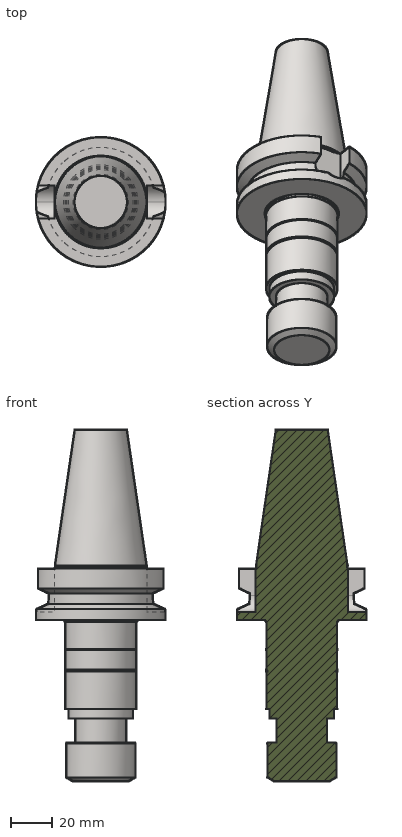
import cadquery as cq


gauge_dia = 44.45
taper_length = 65.4
taper_ratio = 7 / 24
taper_top_dia = gauge_dia - taper_ratio * taper_length

cone_end_z = -0.5
cone_end_dia = gauge_dia - taper_ratio * cone_end_z
relief_dia = 44.0
relief_z = -1.0
relief_flare_dia = 45.0

flange_dia = 62.98
flange_top_z = -2.0
flange_bottom_z = -27.0
groove_dia = 53.0
groove_center_z = -16.6
groove_mouth = 10.0
groove_floor = 5.0

slot_width = 16.1
slot_bottom_z = -23.0
slot_corner_radius = 8.0
slot_floor_x = 22.5

body_dia = 34.6
root_width = 0.7
root_height = 1.0
seam_z = -41.0
seam_width = 0.5
seam_depth = 0.1
ring_bottom_z = -51.8
ring_chamfer = 0.8
body_bottom_z = -70.1
collar_dia = 31.5
collar_bottom_z = -74.7

neck_dia = 24.87
nut_dia = 33.7
nut_top_z = -86.2
nut_bottom_z = -105.2
nut_top_chamfer = 0.5
nut_end_dia = 26.8
nut_end_height = 2.0


def flange_outline():
    """Radius and height of each flange corner, from top to bottom."""
    mouth_top = groove_center_z + groove_mouth / 2
    mouth_bottom = groove_center_z - groove_mouth / 2
    floor_top = groove_center_z + groove_floor / 2
    floor_bottom = groove_center_z - groove_floor / 2
    return [
        (flange_dia / 2, flange_top_z),
        (flange_dia / 2, mouth_top),
        (groove_dia / 2, floor_top),
        (groove_dia / 2, floor_bottom),
        (flange_dia / 2, mouth_bottom),
        (flange_dia / 2, flange_bottom_z),
    ]


def taper_outline():
    """Taper cone and the relief that joins it to the flange."""
    return [
        (0, taper_length),
        (taper_top_dia / 2, taper_length),
        (cone_end_dia / 2, cone_end_z),
        (relief_dia / 2, relief_z),
        (relief_flare_dia / 2, flange_top_z),
    ]


def body_outline():
    """Body with its seam, the chamfered ring and the collar."""
    radius = body_dia / 2
    return [
        (radius + root_width, flange_bottom_z),
        (radius, flange_bottom_z - root_height),
        (radius, seam_z),
        (radius - seam_depth, seam_z - seam_width / 2),
        (radius, seam_z - seam_width),
        (radius, ring_bottom_z + ring_chamfer),
        (radius - ring_chamfer, ring_bottom_z),
        (radius, ring_bottom_z),
        (radius, body_bottom_z),
        (collar_dia / 2, body_bottom_z),
        (collar_dia / 2, collar_bottom_z),
    ]


def nut_outline():
    """Neck and end nut."""
    radius = nut_dia / 2
    return [
        (neck_dia / 2, collar_bottom_z),
        (neck_dia / 2, nut_top_z),
        (radius - nut_top_chamfer, nut_top_z),
        (radius, nut_top_z - nut_top_chamfer),
        (radius, nut_bottom_z + nut_end_height),
        (nut_end_dia / 2, nut_bottom_z),
        (0, nut_bottom_z),
    ]


def turned_body():
    outline = taper_outline() + flange_outline() + body_outline() + nut_outline()
    profile = cq.Workplane("XZ").polyline(outline).close()
    return profile.revolve(360, (0, 0, 0), (0, 1, 0))


def drive_slot(side):
    """Cutter for one drive slot; side is -1 or +1 along X."""
    height = flange_top_z - slot_bottom_z
    middle_z = (flange_top_z + slot_bottom_z) / 2
    length = side * flange_dia / 2
    return (
        cq.Workplane("YZ", origin=(side * slot_floor_x, 0, middle_z))
        .rect(slot_width, height)
        .extrude(length)
        .edges("|X and <Z")
        .fillet(slot_corner_radius)
    )


result = turned_body()
for slot_side in (-1, 1):
    result = result.cut(drive_slot(slot_side))